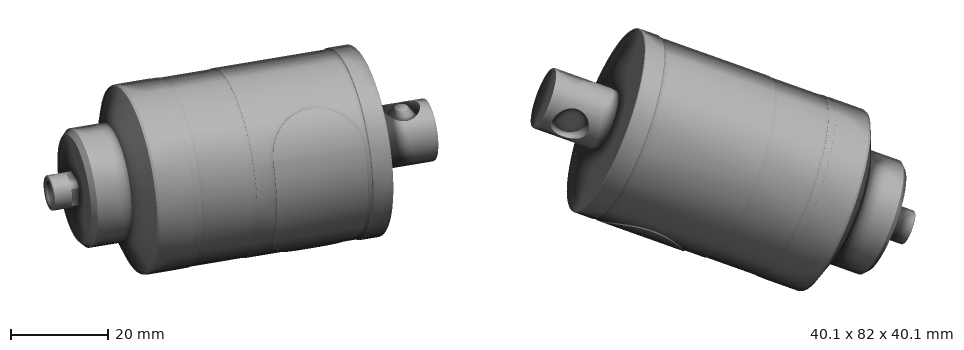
import cadquery as cq
import math

total_length = 82.05

stem_radius = 3.7
stem_head_length = 3.85
stem_across_flats = 6.15
stem_tip_chamfer = 0.2
hole_radius = 2.5
hole_depth = 1.4
hole_chamfer = 0.25
hole_point_angle = 90.0

boss_front = 5.5
boss_radius = 12.5
boss_chamfer = 1.1
cone_front = 13.95
cone_rear = 17.15

front_ring_radius = 19.85
front_ring_rear = 25.1
collar_radius = 39.6 / 2
collar_rear = 26.7
waist_radius = 19.7
body_front = 38.65
body_radius = 39.6 / 2
flange_front = 63.5
flange_rear = 68.0
flange_radius = 40.1 / 2
edge_chamfer = 0.2
cone_edge_chamfer = 0.5

shank_radius = 6.6
relief_radius = 6.5
relief_rear = 69.1
shank_taper_length = 0.3
shank_taper_depth = 0.1

pocket_station = 76.1
pocket_rim_radius = 3.9
pocket_floor_radius = 3.5
pocket_floor_height = 3.8
pin_tip_radius = 1.4

pad_station = 52.7
pad_end_radius = 9.85
pad_end_angle = 27.5


def make_turned_body():
    """Solid of revolution from the boss face to the end of the shank."""
    outline = [
        (0, boss_front),
        (boss_radius - boss_chamfer, boss_front),
        (boss_radius, boss_front + boss_chamfer),
        (boss_radius, cone_front),
        (front_ring_radius - edge_chamfer, cone_rear),
        (front_ring_radius, cone_rear + cone_edge_chamfer),
        (front_ring_radius, front_ring_rear),
        (collar_radius, front_ring_rear),
        (collar_radius, collar_rear),
        (waist_radius, collar_rear),
        (waist_radius, body_front),
        (body_radius, body_front),
        (body_radius, flange_front),
        (flange_radius - edge_chamfer, flange_front),
        (flange_radius, flange_front + edge_chamfer),
        (flange_radius, flange_rear - edge_chamfer),
        (flange_radius - edge_chamfer, flange_rear),
        (relief_radius, flange_rear),
        (relief_radius, relief_rear),
        (shank_radius, relief_rear),
        (shank_radius, total_length - shank_taper_length),
        (shank_radius - shank_taper_depth, total_length),
        (0, total_length),
    ]
    return cq.Workplane("XY").polyline(outline).close().revolve(360, (0, 0), (0, 1))


def along_y(radius, start, end):
    """Cylinder on the Y axis between two stations."""
    return cq.Workplane("XZ", origin=(0, start, 0)).circle(radius).extrude(start - end)


def make_stem():
    """Round stem head on a neck squared by four wrench flats."""
    neck = along_y(stem_radius, stem_head_length, boss_front).intersect(
        cq.Workplane("XY").box(stem_across_flats, 2 * boss_front, stem_across_flats)
    )
    head = along_y(stem_radius, 0, stem_head_length).faces("<Y").chamfer(stem_tip_chamfer)
    return head.union(neck)


def make_stem_hole():
    """Drilled hole with a chamfered mouth and a conical bottom."""
    point_depth = hole_radius / math.tan(math.radians(hole_point_angle / 2))
    outline = [
        (0, 0),
        (hole_radius + hole_chamfer, 0),
        (hole_radius, hole_chamfer),
        (hole_radius, hole_depth),
        (0, hole_depth + point_depth),
    ]
    return cq.Workplane("XY").polyline(outline).close().revolve(360, (0, 0), (0, 1))


def make_pad():
    """Shell band over the body with ends rounded by radial cylinders."""
    shell = along_y(flange_radius, pad_station - pad_end_radius, pad_station + pad_end_radius)
    centre = cq.Workplane("XY", origin=(0, pad_station, 0))
    reach = 2 * flange_radius
    half_height = reach * math.tan(math.radians(pad_end_angle))
    outline = (
        cq.Workplane("XZ", origin=(0, pad_station + pad_end_radius, 0))
        .polyline([(0, 0), (reach, half_height), (reach, -half_height)])
        .close()
        .extrude(2 * pad_end_radius)
    )
    for angle in (pad_end_angle, -pad_end_angle):
        rounded_end = centre.transformed(rotate=(0, 90 - angle, 0)).circle(pad_end_radius).extrude(reach)
        outline = outline.union(rounded_end)
    return shell.intersect(outline)


def make_cross_taper(floor_radius, top_radius):
    """Cone frustum across the shank, from the pocket floor up to the shank crest."""
    outline = [
        (0, pocket_floor_height),
        (floor_radius, pocket_floor_height),
        (top_radius, shank_radius),
        (0, shank_radius),
    ]
    frustum = cq.Workplane("XZ").polyline(outline).close().revolve(360, (0, 0), (0, 1))
    return frustum.translate((0, pocket_station, 0))


pocket = make_cross_taper(pocket_floor_radius, pocket_rim_radius)
pin = make_cross_taper(pocket_floor_radius, pin_tip_radius)
upper_pocket = pocket.cut(pin.intersect(along_y(shank_radius, flange_rear, total_length)))
lower_pocket = pocket.mirror("XY")

result = (
    make_turned_body()
    .union(make_stem())
    .union(make_pad())
    .cut(make_stem_hole())
    .cut(upper_pocket)
    .cut(lower_pocket)
)